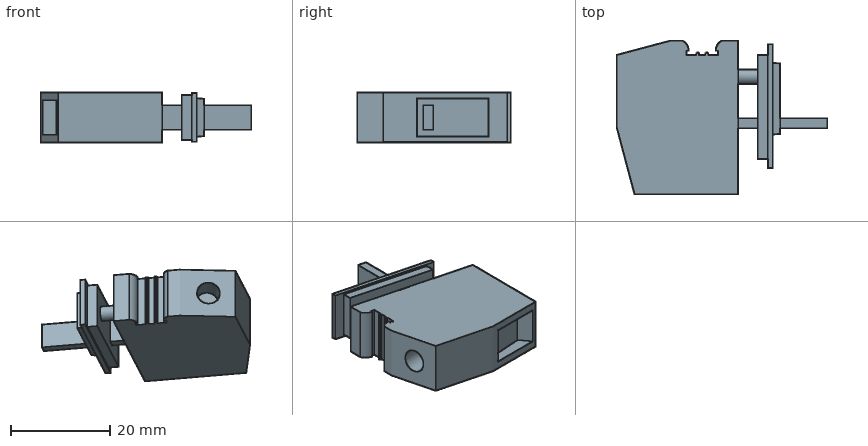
import cadquery as cq
import math


HOUSING_LENGTH = 24.5
HOUSING_WIDTH = 31.0
HOUSING_HEIGHT = 10.1
LOWER_SLOPE_X = 3.6
LOWER_SLOPE_Y = 13.55
SHOULDER_Y = 28.1
UPPER_SLOPE_X = 10.85

NOTCH_LEFT_X = 14.1
NOTCH_RIGHT_X = 20.4
NOTCH_FLOOR_Y = SHOULDER_Y
LIP_OVERHANG = 0.42
LIP_BOTTOM_Y = 28.9
LIP_TOP_Y = 29.25
LIP_ROUND_RUN = 1.25
LIP_ROUND_BULGE = 0.25

TOOTH_LEFT_EDGES = (16.02, 17.85)
TOOTH_WIDTH = 0.65
TOOTH_HEIGHT = 0.5
TOOTH_SIDE_HEIGHT = 0.25
TOOTH_TIP_START = 0.25
TOOTH_TIP_END = 0.45

WINDOW_LOW_Y = 0.9
WINDOW_HIGH_Y = 12.0
WINDOW_FLOOR_LOW_Y = 3.0
WINDOW_FLOOR_HIGH_Y = 10.65
WINDOW_HEIGHT = 7.0
WINDOW_DEPTH_HIGH = 2.3
WINDOW_DEPTH_LOW = 2.8

SCREW_HOLE_DIAMETER = 4.6
SCREW_HOLE_DEPTH = 5.1
SCREW_HOLE_Y = 29.5

PLATE_START_X = 28.45
PLATE_THICKNESS = 2.05
PLATE_LOW_Y = 7.1
PLATE_HIGH_Y = 28.1
PLATE_HEIGHT = 9.1
FLANGE_THICKNESS = 1.0
FLANGE_LOW_Y = 5.25
FLANGE_HIGH_Y = 30.25
FLANGE_HEIGHT = 9.85
BOSS_THICKNESS = 1.45
BOSS_LOW_Y = 12.03
BOSS_HIGH_Y = 26.5
BOSS_HEIGHT = 7.8
BOSS_DRAFT_ANGLE = 5.0

BAR_END_X = 42.5
BAR_LOW_Y = 13.3
BAR_HIGH_Y = 15.35
BAR_HEIGHT = 5.0
PIN_DIAMETER = 2.98
PIN_Y = 23.7


def extrude_centred(profile, height):
    """Extrude a closed XY outline equally to both sides of Z = 0."""
    return profile.extrude(height / 2, both=True)


def slab(start_x, length, low_y, high_y, height, draft=0):
    """Rectangle in the YZ plane, extruded toward +X."""
    return (
        cq.Workplane("YZ", origin=(start_x, (low_y + high_y) / 2, 0))
        .rect(high_y - low_y, height)
        .extrude(length, taper=draft)
    )


def lip_round_middle(tip_x, flat_x):
    """Point halfway along a lip's round, pushed outward from its chord."""
    run = flat_x - tip_x
    rise = HOUSING_WIDTH - LIP_TOP_Y
    chord = math.hypot(run, rise)
    outward = -math.copysign(1, run)
    middle_x = (tip_x + flat_x) / 2 + outward * LIP_ROUND_BULGE * rise / chord
    middle_y = (HOUSING_WIDTH + LIP_TOP_Y) / 2 + LIP_ROUND_BULGE * abs(run) / chord
    return middle_x, middle_y


def make_housing():
    left_tip_x = NOTCH_LEFT_X + LIP_OVERHANG
    right_tip_x = NOTCH_RIGHT_X - LIP_OVERHANG
    left_flat_x = left_tip_x - LIP_ROUND_RUN
    right_flat_x = right_tip_x + LIP_ROUND_RUN
    profile = (
        cq.Workplane("XY")
        .moveTo(LOWER_SLOPE_X, 0)
        .lineTo(0, LOWER_SLOPE_Y)
        .lineTo(0, SHOULDER_Y)
        .lineTo(UPPER_SLOPE_X, HOUSING_WIDTH)
        .lineTo(left_flat_x, HOUSING_WIDTH)
        .threePointArc(lip_round_middle(left_tip_x, left_flat_x), (left_tip_x, LIP_TOP_Y))
        .lineTo(left_tip_x, LIP_BOTTOM_Y)
        .lineTo(NOTCH_LEFT_X, LIP_BOTTOM_Y)
        .lineTo(NOTCH_LEFT_X, NOTCH_FLOOR_Y)
        .lineTo(NOTCH_RIGHT_X, NOTCH_FLOOR_Y)
        .lineTo(NOTCH_RIGHT_X, LIP_BOTTOM_Y)
        .lineTo(right_tip_x, LIP_BOTTOM_Y)
        .lineTo(right_tip_x, LIP_TOP_Y)
        .threePointArc(lip_round_middle(right_tip_x, right_flat_x), (right_flat_x, HOUSING_WIDTH))
        .lineTo(HOUSING_LENGTH, HOUSING_WIDTH)
        .lineTo(HOUSING_LENGTH, 0)
        .close()
    )
    return extrude_centred(profile, HOUSING_HEIGHT)


def make_tooth(left_x):
    profile = (
        cq.Workplane("XY", origin=(left_x, NOTCH_FLOOR_Y, 0))
        .lineTo(0, TOOTH_SIDE_HEIGHT)
        .lineTo(TOOTH_TIP_START, TOOTH_HEIGHT)
        .lineTo(TOOTH_TIP_END, TOOTH_HEIGHT)
        .lineTo(TOOTH_WIDTH, TOOTH_SIDE_HEIGHT)
        .lineTo(TOOTH_WIDTH, 0)
        .close()
    )
    return extrude_centred(profile, HOUSING_HEIGHT)


def make_window_cutter():
    """Pocket with both ends tapering in, slightly deeper at its low-Y end."""
    run_per_rise = LOWER_SLOPE_X / LOWER_SLOPE_Y
    offset_per_depth = math.hypot(1, run_per_rise)

    def point_below_slope(y, depth):
        return (LOWER_SLOPE_Y - y) * run_per_rise + depth * offset_per_depth, y

    profile = cq.Workplane("XY").polyline([
        point_below_slope(WINDOW_LOW_Y, 0),
        point_below_slope(WINDOW_HIGH_Y, 0),
        point_below_slope(WINDOW_FLOOR_HIGH_Y, WINDOW_DEPTH_HIGH),
        point_below_slope(WINDOW_FLOOR_LOW_Y, WINDOW_DEPTH_LOW),
    ]).close()
    return extrude_centred(profile, WINDOW_HEIGHT)


def make_screw_hole_cutter():
    slope_rise = HOUSING_WIDTH - SHOULDER_Y
    centre_x = (SCREW_HOLE_Y - SHOULDER_Y) * UPPER_SLOPE_X / slope_rise
    mouth = cq.Plane(
        origin=(centre_x, SCREW_HOLE_Y, 0),
        xDir=(0, 0, 1),
        normal=(slope_rise, -UPPER_SLOPE_X, 0),
    )
    return cq.Workplane(mouth).circle(SCREW_HOLE_DIAMETER / 2).extrude(SCREW_HOLE_DEPTH)


def make_plate_stack():
    flange_x = PLATE_START_X + PLATE_THICKNESS
    boss_x = flange_x + FLANGE_THICKNESS
    plate = slab(PLATE_START_X, PLATE_THICKNESS, PLATE_LOW_Y, PLATE_HIGH_Y, PLATE_HEIGHT)
    flange = slab(flange_x, FLANGE_THICKNESS, FLANGE_LOW_Y, FLANGE_HIGH_Y, FLANGE_HEIGHT)
    boss = slab(boss_x, BOSS_THICKNESS, BOSS_LOW_Y, BOSS_HIGH_Y, BOSS_HEIGHT, BOSS_DRAFT_ANGLE)
    return plate.union(flange).union(boss)


def make_bar():
    return slab(HOUSING_LENGTH, BAR_END_X - HOUSING_LENGTH, BAR_LOW_Y, BAR_HIGH_Y, BAR_HEIGHT)


def make_pin():
    return (
        cq.Workplane("YZ", origin=(HOUSING_LENGTH, PIN_Y, 0))
        .circle(PIN_DIAMETER / 2)
        .extrude(PLATE_START_X - HOUSING_LENGTH)
    )


housing = make_housing().cut(make_window_cutter()).cut(make_screw_hole_cutter())
for tooth_x in TOOTH_LEFT_EDGES:
    housing = housing.union(make_tooth(tooth_x))

result = housing.union(make_plate_stack()).union(make_bar()).union(make_pin())